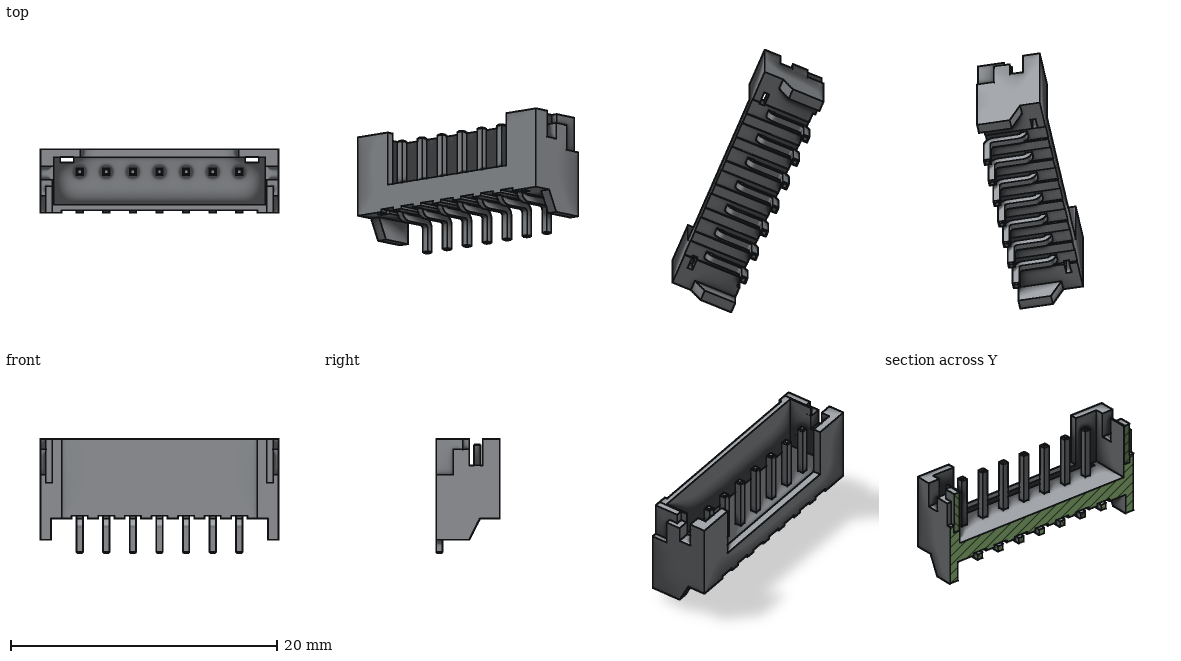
import cadquery as cq


pin_count = 7
pitch = 2.0
pin_width = 0.5
pin_row_y = 3.1
pin_outer_bend_radius = 0.75
pin_tip_length = 0.1
pin_tip_inset = 0.1

housing_length = 17.9
housing_depth = 4.8
shroud_height = 6.0
end_wall = 1.0
front_wall = 0.6
rear_wall = 0.6
floor_thickness = 1.6
front_recess_depth = 0.2
front_recess_margin = 1.6

rear_opening_margin = 3.0
rear_opening_depth = 4.0
rear_post_depth = 1.3
end_slot_width = 1.0
end_slot_depth = 2.0

floor_hole_length = 1.0
floor_hole_width = 0.4
floor_hole_margin = 1.5

groove_width = 1.2
groove_depth = 0.2

leg_width = 0.8
leg_drop = 1.6
leg_bottom_depth = 2.5
leg_top_depth = 3.3

insert_width = 0.5
insert_depth = 2.0
insert_height = 3.3
skin_thickness = 0.4
skin_upper_drop = 0.8
skin_lower_drop = 2.7
skin_lower_depth = 1.3

pin_top = shroud_height - 0.4
pin_bottom = -2.6
run_top = 0.0

half_length = housing_length / 2
end_slot_front = housing_depth - rear_post_depth - end_slot_width
pin_positions = [(i - (pin_count - 1) / 2) * pitch for i in range(pin_count)]


def block(x0, x1, y0, y1, z0, z1):
    """Box between two opposite corners."""
    return cq.Workplane("XY").box(x1 - x0, y1 - y0, z1 - z0, centered=False).translate((x0, y0, z0))


def on_both_ends(left_shape):
    """The left-hand shape together with its mirror image at the right-hand end."""
    return [left_shape, left_shape.mirror("YZ")]


def make_left_leg():
    """Leg under the left end wall, with a sloped back edge."""
    profile = [
        (0, 0),
        (leg_top_depth, 0),
        (leg_bottom_depth, -leg_drop),
        (0, -leg_drop),
    ]
    leg = cq.Workplane("YZ").polyline(profile).close().extrude(leg_width)
    return leg.translate((-half_length, 0, 0))


def make_left_insert():
    """Flat plate let into the left end wall from the front and the top."""
    x0 = -half_length + skin_thickness
    return block(x0, x0 + insert_width, 0, insert_depth, shroud_height - insert_height, shroud_height)


def make_left_skin_cut():
    """Stepped cut-back of the end wall around the exposed part of the insert."""
    outer = -half_length
    upper = block(
        outer, outer + skin_thickness + insert_width,
        0, end_slot_front,
        shroud_height - skin_upper_drop, shroud_height,
    )
    lower = block(
        outer, outer + skin_thickness,
        0, skin_lower_depth,
        shroud_height - skin_lower_drop, shroud_height,
    )
    return upper.union(lower)


def make_left_floor_hole():
    """Opening through the floor in the left rear corner of the cavity."""
    x0 = -half_length + floor_hole_margin
    y1 = housing_depth - rear_wall
    return block(x0, x0 + floor_hole_length, y1 - floor_hole_width, y1, 0, shroud_height)


def tip(y, z, direction):
    """Tapered pin end that starts at the given height and points up (1) or down (-1)."""
    tip_width = pin_width - 2 * pin_tip_inset
    return (
        cq.Workplane("XY", origin=(0, y, z))
        .rect(pin_width, pin_width)
        .workplane(offset=direction * pin_tip_length)
        .rect(tip_width, tip_width)
        .loft()
    )


def make_pin(x):
    """Pin that drops through the floor, bends to the front and bends down again, tapered at both ends."""
    half = pin_width / 2
    bend_radius = pin_outer_bend_radius - half
    run_z = run_top - half
    shaft_top = pin_top - pin_tip_length
    shaft_bottom = pin_bottom + pin_tip_length

    path = (
        cq.Workplane("YZ")
        .moveTo(pin_row_y, shaft_top)
        .lineTo(pin_row_y, run_z + bend_radius)
        .tangentArcPoint((-bend_radius, -bend_radius))
        .lineTo(half + bend_radius, run_z)
        .tangentArcPoint((-bend_radius, -bend_radius))
        .lineTo(half, shaft_bottom)
    )
    shaft = cq.Workplane("XY", origin=(0, pin_row_y, shaft_top)).rect(pin_width, pin_width).sweep(path)
    pin = shaft.union(tip(pin_row_y, shaft_top, 1)).union(tip(half, shaft_bottom, -1))
    return pin.translate((x, 0, 0))


def make_housing(inserts, pins):
    """Open-topped shroud with legs, with seats for the inserts and the pins."""
    body = block(-half_length, half_length, 0, housing_depth, 0, shroud_height)
    for leg in on_both_ends(make_left_leg()):
        body = body.union(leg)

    cavity_x = half_length - end_wall
    body = body.cut(block(
        -cavity_x, cavity_x,
        front_wall, housing_depth - rear_wall,
        floor_thickness, shroud_height,
    ))

    recess_x = half_length - front_recess_margin
    body = body.cut(block(-recess_x, recess_x, 0, front_recess_depth, 0, shroud_height))

    opening_x = half_length - rear_opening_margin
    body = body.cut(block(
        -opening_x, opening_x,
        housing_depth - rear_wall, housing_depth,
        shroud_height - rear_opening_depth, shroud_height,
    ))

    body = body.cut(block(
        -half_length, half_length,
        end_slot_front, end_slot_front + end_slot_width,
        shroud_height - end_slot_depth, shroud_height,
    ))

    for x in pin_positions:
        body = body.cut(block(
            x - groove_width / 2, x + groove_width / 2,
            0, housing_depth,
            0, groove_depth,
        ))

    for left_cut in (make_left_skin_cut(), make_left_floor_hole()):
        for cut in on_both_ends(left_cut):
            body = body.cut(cut)

    for seated in inserts + pins:
        body = body.cut(seated)
    return body


pins = [make_pin(x) for x in pin_positions]
inserts = on_both_ends(make_left_insert())
housing = make_housing(inserts, pins)

result = cq.Compound.makeCompound([housing.val()] + [body.val() for body in inserts + pins])